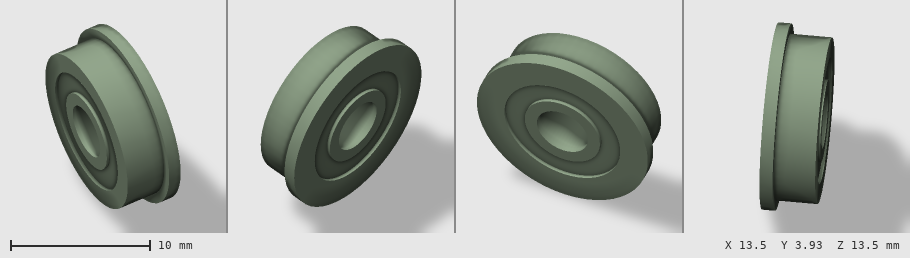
import cadquery as cq

flange_diameter = 13.46
body_diameter = 11.98
recess_outer_diameter = 9.11
recess_inner_diameter = 5.91
bore_diameter = 4.0
width = 3.93
flange_thickness = 0.94
recess_depth = 0.25

front_y = -width / 2
back_y = width / 2


def cylinder(diameter, start_y, length):
    """Solid cylinder on the Y axis, running from start_y toward +Y."""
    plane = cq.Workplane("XZ", origin=(0, start_y, 0))
    return plane.circle(diameter / 2).extrude(-length)


def shield_recess(start_y):
    """Ring of material between the inner and outer race faces."""
    outer = cylinder(recess_outer_diameter, start_y, recess_depth)
    return outer.cut(cylinder(recess_inner_diameter, start_y, recess_depth))


body = cylinder(body_diameter, front_y, width)
flange = cylinder(flange_diameter, back_y - flange_thickness, flange_thickness)
result = body.union(flange)

result = result.cut(cylinder(bore_diameter, front_y, width))

for recess_start in (front_y, back_y - recess_depth):
    result = result.cut(shield_recess(recess_start))